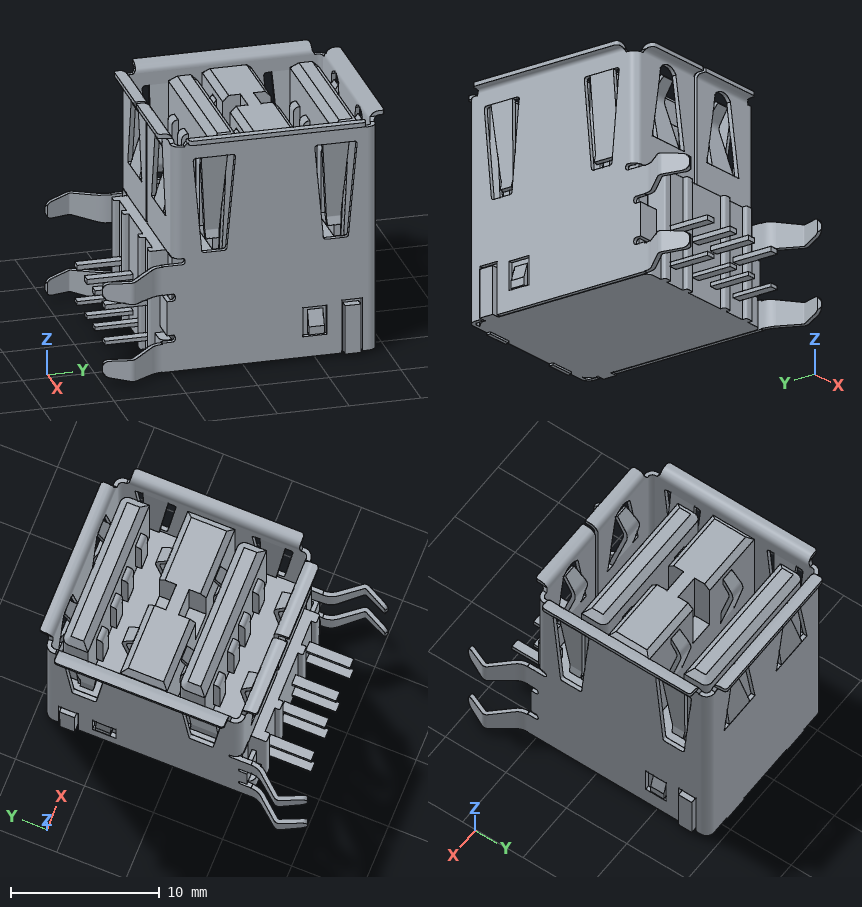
import cadquery as cq
import math


SHEET = 0.32
SHELL_X = 6.58
SHELL_Y = 7.14
SHELL_TOP = 16.35
CORNER_R = 0.65
INNER_X = SHELL_X - SHEET
INNER_Y = SHELL_Y - SHEET
FRONT_WALL_BOTTOM = 8.18
SEAM_WIDTH = 0.29
FOOT_DROP = 0.16
FOOT_WIDTH = 2.06
FOOT_X = 3.45

LIP_BEND = 0.35
LIP_FLAT = 0.41
LIP_TOP = SHELL_TOP + LIP_BEND + SHEET
LIP_TAPER = 0.17
LIP_CORNER_R = 0.25
LIP_HALF_X = 5.63
LIP_HALF_Y = 6.16

CHEEK_Y = -7.86
CHEEK_TOP = 7.74
RELIEF_END_Y = -6.27
RELIEF_R = 0.21
NOTCH_BOTTOM = 2.16
NOTCH_TOP = 5.65
NOTCH_SLOT = 0.5
NOTCH_SLOT_Y = -6.96
TAB_Y = -7.55
TAB_INNER_X = 4.84

ROW_Y = 4.24
SPRING_X = 3.0
SPRING_ROOT_Z = 10.65
SPRING_ELBOW_Z = 14.2
SPRING_ROOT_R = 0.3
SPRING_ELBOW_R = 0.8
SPRING_TIP_Z = 15.5
SPRING_REACH = 1.1
SPRING_TIP_OUT = 0.05
SPRING_ROOT_HALF = 1.22
SPRING_TIP_HALF = 0.47
WINDOW_ROOT_HALF = 1.76
WINDOW_TOP_HALF = 0.83
WINDOW_ARC_Z = 15.9
SIDE_WINDOW_TOP = 15.4
SIDE_WINDOW_BOTTOM = 8.46
SIDE_WINDOW_TOP_HALF = 1.49
SIDE_WINDOW_BOTTOM_HALF = 0.86
SIDE_WINDOW_R = 0.2
SIDE_SPRING_ELBOW_Z = 9.8
SIDE_SPRING_REACH = 0.6
SIDE_SPRING_TIP_Z = 9.2
SIDE_SPRING_TOP_HALF = 0.94
SIDE_SPRING_TIP_HALF = 0.43
SIDE_SPRING_WIDE_HALF = 0.98

LEG_ZS = (1.05, 6.69)
LEG_KNEE = (8.01, -10.32)
LEG_BEND_Y = -8.4
LEG_TIP = (7.13, -12.18)
LEG_ROOT_HALF = 1.02
LEG_TIP_HALF = 0.56
LEG_TIP_R = 0.52
LEG_BEND_R = 1.4
LEG_KNEE_R = 0.27
LEG_END_Y = -12.24

FLOOR_Z = FRONT_WALL_BOTTOM
HOUSING_X = 6.2
HOUSING_CHAMFER = 0.55
FRONT_FACE_Y = -7.9
RIB_Y = -8.27
RIB_WIDTH = 0.65
RIB_XS = (2.07, 4.48)
RIB_ROUND = 0.13
STEP_Z = 2.19
STEP_R = 0.5
GROOVE_X = 5.27
POCKET_Y = -7.1

TONGUE_TOP = 16.4
TONGUE_X = 5.55
TONGUE_THICKNESS = 1.92
TONGUE_OFFSET = 1.1
TONGUE_CHAMFER = 0.5
TONGUE_CORNER_R = 0.52
RAIL_PROUD = 0.16
RAIL_WIDTH = 0.2
RAIL_LEAN = 0.25
RAIL_OFFSET = 0.07
RAIL_TOP = 13.5

BLOCK_X = 6.1
BLOCK_Y0 = -1.58
BLOCK_Y1 = 1.82
BLOCK_CHAMFER = 0.42
BLOCK_SLOT_HALF = 0.95
BLOCK_SLOT_DEPTH = 1.24
BLOCK_SLOT_FLOOR = 12.0
BLOCK_SPRING_ROOT_HALF = 0.8
KEY_WIDTH = 0.46
KEY_X = 5.05
KEY_LENGTH = 0.6
KEY_HEIGHT = 1.0

BOSS_Y0 = 4.82
BOSS_Y1 = 5.92
BOSS_TOP = 3.55
BOSS_PROUD = 0.24
BOSS_GAP = 0.17
BOSS_GAP_TOP = 0.33
LATCH_WINDOW = (1.94, 3.63, 1.51, 3.63)
LATCH_Y0 = 2.35
LATCH_Y1 = 3.43
LATCH_TOP = 3.3
LATCH_EDGE_Z = 2.18
LATCH_BOTTOM = 1.6

CONTACT_XS = (-3.5, -1.0, 1.0, 3.5)
CONTACT_WIDTH = 1.0
CONTACT_PROUD = 0.46
CONTACT_TOP = 14.1
CONTACT_BOTTOM = 9.3
CONTACT_R = 0.4
PIN_WIDTH = 0.7
PIN_TIP_Y = -11.11
PIN_HEIGHTS = ((1.26, 1.55), (3.84, 4.2))

OVERLAP = 0.05


def box(x0, x1, y0, y1, z0, z1):
    return cq.Workplane("XY").box(x1 - x0, y1 - y0, z1 - z0, centered=False).translate((x0, y0, z0))


def both_sides(solid):
    """The solid and its mirror image across the YZ plane."""
    return solid.union(solid.mirror("YZ"))


def bent_strip(plane, path, radii, half_width):
    """Sheet strip bent along an open path in a plane, `radii` being the mean radii of its bends."""
    sides = ([], [])
    for i, (px, py) in enumerate(path):
        before = path[max(i - 1, 0)]
        after = path[min(i + 1, len(path) - 1)]
        angles = []
        for start, end in ((before, (px, py)), ((px, py), after)):
            if start != end:
                angles.append(math.atan2(end[1] - start[1], end[0] - start[0]))
        turn = (angles[-1] - angles[0]) / 2
        middle = angles[0] + turn
        reach = SHEET / 2 / math.cos(turn)
        for side, sign in zip(sides, (1, -1)):
            corner = (px - sign * reach * math.sin(middle), py + sign * reach * math.cos(middle))
            radius = radii[i - 1] + math.copysign(SHEET / 2, sign * -turn) if len(angles) == 2 else 0
            side.append((corner, radius))

    outline = [corner for corner, radius in sides[0] + sides[1][::-1]]
    strip = cq.Workplane(plane).polyline(outline).close().extrude(half_width, both=True)
    for corner, radius in sides[0] + sides[1]:
        if radius:
            place = cq.Plane.named(plane).toWorldCoords(corner)
            strip = strip.edges(cq.selectors.NearestToPointSelector(place)).fillet(radius)
    return strip


def front_plate(points, y0, y1):
    """Polygon of (x, z) points swept along Y from y0 to y1."""
    return cq.Workplane("XZ").polyline(points).close().extrude(y0 - y1).translate((0, y0, 0))


def on_side(solid, y):
    """Turn a piece made at the front (-Y) onto the -X side at the given Y."""
    return solid.rotate((0, 0, 0), (0, 0, 1), -90).translate((0, y, 0))


def lip(half_width, wall):
    """Flared lip over the front wall whose outside lies at -wall in Y."""
    outer_r = LIP_BEND + SHEET
    bend_y = -wall - LIP_BEND
    diagonal = math.sqrt(0.5)
    profile = (
        cq.Workplane("YZ")
        .moveTo(-wall, SHELL_TOP - OVERLAP)
        .lineTo(-wall, SHELL_TOP)
        .threePointArc((bend_y + LIP_BEND * diagonal, SHELL_TOP + LIP_BEND * diagonal),
                       (bend_y, SHELL_TOP + LIP_BEND))
        .lineTo(bend_y - LIP_FLAT, SHELL_TOP + LIP_BEND)
        .lineTo(bend_y - LIP_FLAT, LIP_TOP)
        .lineTo(bend_y, LIP_TOP)
        .threePointArc((bend_y + outer_r * diagonal, SHELL_TOP + outer_r * diagonal),
                       (bend_y + outer_r, SHELL_TOP))
        .lineTo(bend_y + outer_r, SHELL_TOP - OVERLAP)
        .close()
        .extrude(half_width + LIP_TAPER, both=True)
    )
    base = half_width + LIP_TAPER
    taper_top = SHELL_TOP + LIP_BEND - OVERLAP
    outline = front_plate(
        [(-base, SHELL_TOP - OVERLAP), (base, SHELL_TOP - OVERLAP), (base, SHELL_TOP),
         (half_width, taper_top), (half_width, LIP_TOP),
         (-half_width, LIP_TOP), (-half_width, taper_top), (-base, SHELL_TOP)],
        bend_y - LIP_FLAT, 0,
    )
    rim = profile.intersect(outline)
    return rim.edges("|Z").edges("<Y").fillet(LIP_CORNER_R)


def front_spring(wall, root_half):
    """Spring rooted low in a front wall: leans inward, then back out at its tip."""
    root_y = -wall + SHEET / 2
    path = [
        (root_y, SPRING_ROOT_Z - SHEET),
        (root_y, SPRING_ROOT_Z),
        (root_y + SPRING_REACH - SHEET / 2, SPRING_ELBOW_Z),
        (root_y - SPRING_TIP_OUT, SPRING_TIP_Z),
    ]
    blade = bent_strip("YZ", path, (SPRING_ROOT_R, SPRING_ELBOW_R), root_half)
    outline = front_plate(
        [(-root_half, SPRING_ROOT_Z - SHEET), (root_half, SPRING_ROOT_Z - SHEET),
         (SPRING_TIP_HALF, SPRING_TIP_Z + SHEET), (-SPRING_TIP_HALF, SPRING_TIP_Z + SHEET)],
        -wall, -wall + 2 * SPRING_REACH,
    )
    return blade.intersect(outline)


def front_window():
    """Cutter for the opening around a front spring."""
    return (
        cq.Workplane("XZ")
        .moveTo(-WINDOW_ROOT_HALF, SPRING_ROOT_Z)
        .lineTo(WINDOW_ROOT_HALF, SPRING_ROOT_Z)
        .lineTo(WINDOW_TOP_HALF, WINDOW_ARC_Z)
        .threePointArc((0, SHELL_TOP), (-WINDOW_TOP_HALF, WINDOW_ARC_Z))
        .close()
        .extrude(SHEET + 2 * OVERLAP)
        .translate((0, -INNER_Y + OVERLAP, 0))
    )


def side_spring(tip_half, top_half):
    """Spring hung from the top of a side window, modelled on a front wall at SHELL_X."""
    root_y = -SHELL_X + SHEET / 2
    elbow_y = root_y + SIDE_SPRING_REACH
    path = [
        (root_y, SIDE_WINDOW_TOP + SHEET),
        (root_y, SIDE_WINDOW_TOP),
        (elbow_y, SIDE_SPRING_ELBOW_Z),
        (elbow_y - SHEET / 2, SIDE_SPRING_TIP_Z),
    ]
    blade = bent_strip("YZ", path, (SPRING_ROOT_R, SPRING_ROOT_R), top_half)
    outline = front_plate(
        [(-tip_half, SIDE_SPRING_TIP_Z - SHEET), (tip_half, SIDE_SPRING_TIP_Z - SHEET),
         (top_half, SIDE_WINDOW_TOP + SHEET), (-top_half, SIDE_WINDOW_TOP + SHEET)],
        -SHELL_X, 0,
    )
    return blade.intersect(outline)


def side_window():
    """Cutter for the opening around a side spring, modelled on a front wall at SHELL_X."""
    cutter = front_plate(
        [(-SIDE_WINDOW_BOTTOM_HALF, SIDE_WINDOW_BOTTOM), (SIDE_WINDOW_BOTTOM_HALF, SIDE_WINDOW_BOTTOM),
         (SIDE_WINDOW_TOP_HALF, SIDE_WINDOW_TOP), (-SIDE_WINDOW_TOP_HALF, SIDE_WINDOW_TOP)],
        -SHELL_X - OVERLAP, -INNER_X + OVERLAP,
    )
    return cutter.edges("|Y").fillet(SIDE_WINDOW_R)


def relief_slot(y_end, z0, z1):
    """Round-ended slot through both cheeks, running from y_end out to the front."""
    slot = box(-SHELL_X - OVERLAP, -INNER_X, CHEEK_Y - OVERLAP, y_end, z0, z1)
    return both_sides(slot.edges("|X").edges(">Y").fillet(RELIEF_R))


def leg(z):
    """Kinked board lock leaving the right-hand cheek at height z."""
    wall_x = SHELL_X - SHEET / 2
    path = [(wall_x, CHEEK_Y + OVERLAP), (wall_x, LEG_BEND_Y), LEG_KNEE, LEG_TIP]
    blade = bent_strip("XY", path, (LEG_BEND_R, LEG_KNEE_R), LEG_ROOT_HALF)
    outline = (
        cq.Workplane("YZ")
        .polyline([(CHEEK_Y + OVERLAP, -LEG_ROOT_HALF), (LEG_BEND_Y, -LEG_ROOT_HALF),
                   (LEG_END_Y, -LEG_TIP_HALF), (LEG_END_Y, LEG_TIP_HALF),
                   (LEG_BEND_Y, LEG_ROOT_HALF), (CHEEK_Y + OVERLAP, LEG_ROOT_HALF)])
        .close()
        .extrude(LEG_KNEE[0] + SHEET)
        .edges("|X").edges("<Y").fillet(LEG_TIP_R)
    )
    return blade.intersect(outline).translate((0, 0, z))


def make_shell():
    tube = cq.Workplane("XY").rect(2 * SHELL_X, 2 * SHELL_Y).extrude(SHELL_TOP)
    tube = tube.edges("|Z").fillet(CORNER_R)
    core = cq.Workplane("XY").rect(2 * INNER_X, 2 * INNER_Y).extrude(SHELL_TOP)
    shell = tube.cut(core.edges("|Z").fillet(CORNER_R - SHEET))

    shell = shell.cut(box(-SHELL_X, SHELL_X, -SHELL_Y, RELIEF_END_Y, 0, FRONT_WALL_BOTTOM))
    cheek = box(INNER_X, SHELL_X, CHEEK_Y, RELIEF_END_Y, 0, FRONT_WALL_BOTTOM)
    cheek = cheek.cut(box(INNER_X, SHELL_X, CHEEK_Y, TAB_Y, NOTCH_BOTTOM, NOTCH_TOP))
    tab = box(TAB_INNER_X, SHELL_X, TAB_Y, TAB_Y + SHEET,
              NOTCH_BOTTOM + NOTCH_SLOT, NOTCH_TOP - NOTCH_SLOT)
    shell = shell.union(both_sides(cheek.union(tab)))
    shell = shell.cut(relief_slot(RELIEF_END_Y, CHEEK_TOP, FRONT_WALL_BOTTOM))
    shell = shell.cut(relief_slot(NOTCH_SLOT_Y, NOTCH_TOP - NOTCH_SLOT, NOTCH_TOP))
    shell = shell.cut(relief_slot(NOTCH_SLOT_Y, NOTCH_BOTTOM, NOTCH_BOTTOM + NOTCH_SLOT))

    front_lip = lip(LIP_HALF_X, SHELL_Y)
    side_lip = on_side(lip(LIP_HALF_Y, SHELL_X), 0)
    shell = shell.union(front_lip).union(front_lip.mirror("XZ")).union(both_sides(side_lip))
    seam = box(-SEAM_WIDTH / 2, SEAM_WIDTH / 2, -2 * SHELL_Y, -INNER_Y, FRONT_WALL_BOTTOM, LIP_TOP)
    shell = shell.cut(seam)

    for x in (-SPRING_X, SPRING_X):
        window = front_window().translate((x, 0, 0))
        spring = front_spring(SHELL_Y, SPRING_ROOT_HALF).translate((x, 0, 0))
        shell = shell.cut(window).cut(window.mirror("XZ"))
        shell = shell.union(spring).union(spring.mirror("XZ"))

    narrow = side_spring(SIDE_SPRING_TIP_HALF, SIDE_SPRING_TOP_HALF)
    wide = side_spring(SIDE_SPRING_WIDE_HALF, SIDE_SPRING_WIDE_HALF)
    for y in (-ROW_Y, ROW_Y):
        shell = shell.cut(both_sides(on_side(side_window(), y)))
        shell = shell.union(on_side(narrow, y).mirror("YZ"))
    shell = shell.union(on_side(narrow, ROW_Y)).union(on_side(wide, -ROW_Y))

    boss_slot = box(INNER_X, SHELL_X, BOSS_Y0 - BOSS_GAP, BOSS_Y1 + BOSS_GAP, 0, BOSS_TOP + BOSS_GAP_TOP)
    latch_y0, latch_y1, latch_z0, latch_z1 = LATCH_WINDOW
    latch_hole = box(INNER_X, SHELL_X, latch_y0, latch_y1, latch_z0, latch_z1)
    shell = shell.cut(both_sides(boss_slot)).cut(both_sides(latch_hole))

    for z in LEG_ZS:
        shell = shell.union(both_sides(leg(z)))
    foot = box(FOOT_X - FOOT_WIDTH / 2, FOOT_X + FOOT_WIDTH / 2, INNER_Y, SHELL_Y, -FOOT_DROP, OVERLAP)
    return shell.union(both_sides(foot))


def make_base():
    """Solid lower body with its ribbed front, side bosses and latches."""
    base = box(-HOUSING_X, HOUSING_X, POCKET_Y, INNER_Y, 0, FLOOR_Z)
    base = base.edges("|Z").edges(">Y").chamfer(HOUSING_CHAMFER)

    rib_outer = RIB_XS[1] + RIB_WIDTH / 2
    base = base.cut(both_sides(box(rib_outer, GROOVE_X, POCKET_Y, -INNER_Y, STEP_Z, FLOOR_Z)))
    base = base.union(box(-rib_outer, rib_outer, FRONT_FACE_Y, POCKET_Y + OVERLAP, 0, FLOOR_Z))
    step = box(-HOUSING_X, HOUSING_X, FRONT_FACE_Y, POCKET_Y + OVERLAP, 0, STEP_Z)
    base = base.union(step.edges("|Z").edges("<Y").fillet(STEP_R))
    for x in RIB_XS:
        rib = box(x - RIB_WIDTH / 2, x + RIB_WIDTH / 2, RIB_Y, POCKET_Y, 0, FLOOR_Z)
        base = base.union(both_sides(rib.edges("|Z").edges("<Y").fillet(RIB_ROUND)))

    boss = box(HOUSING_X - OVERLAP, SHELL_X + BOSS_PROUD, BOSS_Y0, BOSS_Y1, 0, BOSS_TOP)
    latch = front_plate(
        [(HOUSING_X - OVERLAP, LATCH_BOTTOM), (SHELL_X, LATCH_BOTTOM),
         (SHELL_X, LATCH_EDGE_Z), (HOUSING_X, LATCH_TOP), (HOUSING_X - OVERLAP, LATCH_TOP)],
        LATCH_Y0, LATCH_Y1,
    )
    return base.union(both_sides(boss.union(latch)))


def make_tongue(port_y):
    """Contact-carrying tongue of one port, chamfered around its free end."""
    y0 = port_y + TONGUE_OFFSET - TONGUE_THICKNESS / 2
    y1 = y0 + TONGUE_THICKNESS
    tongue = box(-TONGUE_X, TONGUE_X, y0, y1, FLOOR_Z - OVERLAP, TONGUE_TOP)
    tongue = tongue.edges("|Z").edges(">Y").fillet(TONGUE_CORNER_R)
    tongue = tongue.faces(">Z").chamfer(TONGUE_CHAMFER)
    rail_y = port_y + TONGUE_OFFSET - RAIL_OFFSET
    rails = (
        cq.Workplane("YZ")
        .polyline([(rail_y - RAIL_WIDTH, RAIL_TOP), (rail_y, RAIL_TOP),
                   (rail_y - RAIL_LEAN, FLOOR_Z), (rail_y - RAIL_WIDTH - RAIL_LEAN, FLOOR_Z)])
        .close()
        .extrude(TONGUE_X + RAIL_PROUD, both=True)
    )
    tongue = tongue.union(rails)
    for x in CONTACT_XS:
        contact = box(x - CONTACT_WIDTH / 2, x + CONTACT_WIDTH / 2, y0 - CONTACT_PROUD, y0 + OVERLAP,
                      CONTACT_BOTTOM, CONTACT_TOP)
        tongue = tongue.union(contact.edges(">Z").edges("<Y").fillet(CONTACT_R))
    return tongue


def make_divider():
    """Block between the ports, with a slot and two springs on each of its faces."""
    block = box(-BLOCK_X, BLOCK_X, BLOCK_Y0, BLOCK_Y1, FLOOR_Z - OVERLAP, TONGUE_TOP)
    block = block.faces(">Z").chamfer(BLOCK_CHAMFER)
    for y0 in (BLOCK_Y0, BLOCK_Y1 - BLOCK_SLOT_DEPTH):
        block = block.cut(box(-BLOCK_SLOT_HALF, BLOCK_SLOT_HALF, y0, y0 + BLOCK_SLOT_DEPTH,
                              BLOCK_SLOT_FLOOR, TONGUE_TOP))
    for x in (-SPRING_X, SPRING_X):
        upper = front_spring(SHEET - BLOCK_Y1, BLOCK_SPRING_ROOT_HALF).translate((x, 0, 0))
        lower = front_spring(SHEET + BLOCK_Y0, BLOCK_SPRING_ROOT_HALF).mirror("XZ").translate((x, 0, 0))
        block = block.union(upper).union(lower)
    return block


def make_pins():
    pins = None
    for z0, z1 in PIN_HEIGHTS:
        for x in CONTACT_XS:
            pin = box(x - PIN_WIDTH / 2, x + PIN_WIDTH / 2, PIN_TIP_Y, FRONT_FACE_Y + OVERLAP, z0, z1)
            pins = pin if pins is None else pins.union(pin)
    return pins


def make_keys():
    """Small floor ribs just behind the front wall."""
    key = box(KEY_X - KEY_WIDTH / 2, KEY_X + KEY_WIDTH / 2, -INNER_Y, -INNER_Y + KEY_LENGTH,
              FLOOR_Z - OVERLAP, FLOOR_Z + KEY_HEIGHT)
    return both_sides(key)


result = make_base().union(make_divider()).union(make_keys())
for port_y in (-ROW_Y, ROW_Y):
    result = result.union(make_tongue(port_y))
result = result.union(make_pins()).union(make_shell())